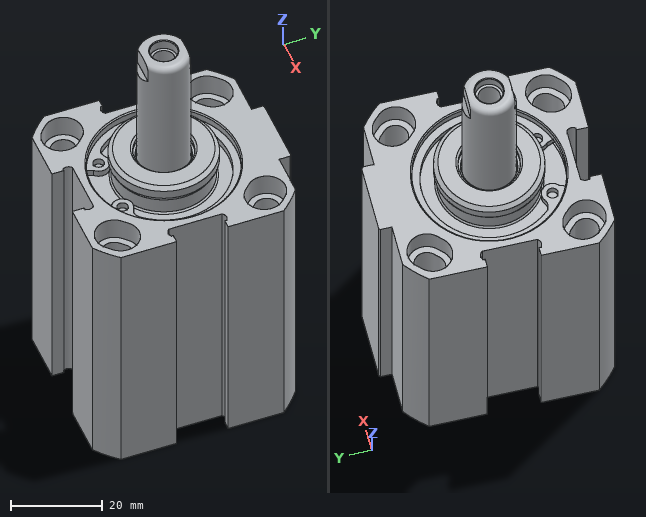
import cadquery as cq
import math

total_height = 100.5
body_height = 64.5
body_width = 46.0
body_depth = 48.0
corner_diameter = 60.0

rib_width = 16.4
rib_height = 2.9
rib_chamfer = 0.3

slot_mouth_width = 12.2
slot_ledge_width = 13.1
slot_bulge_width = 13.7
slot_bulge_depth = 0.6
slot_floor_width = 12.5
slot_inner_depth = 2.1
side_lip_depth = 2.0
front_lip_depth = 2.8

bolt_spacing_x = 33.0
bolt_spacing_y = 35.0
bolt_elongation = 1.5
bolt_hole_diameter = 5.7
bolt_counterbore_diameter = 8.7
bolt_counterbore_depth = 5.5

bore_diameter = 34.1
bore_chamfer = 0.3
groove_diameter = 35.8
ring_top_depth = 2.0
ring_thickness = 1.6

ring_inner_diameter = 30.5
lug_spacing = 14.3
lug_offset = 12.6
lug_diameter = 4.9
lug_hole_diameter = 2.5
lug_root_radius = 2.2
ring_gap_angle = 42.0

cover_top = 69.3
cover_flange_thickness = 10.0
neck_diameter = 23.2
neck_flare = 0.4
lip_diameter = 24.5
lip_top_chamfer_width = 1.0
lip_top_chamfer_height = 0.8
lip_straight_height = 2.2
lip_bottom_chamfer_height = 1.2
seal_mouth_diameter = 14.7
seal_diameter = 13.7
seal_chamfer = 0.5
seal_depth = 1.5
wiper_diameter = 12.6
wiper_depth = 3.0

rod_diameter = 12.0
rod_top_radius = 1.5
flat_width = 10.0
flat_height = 4.6
thread_diameter = 6.2
thread_mouth_chamfer = 0.2
thread_relief_depth = 2.5
core_diameter = 4.9
core_depth = 12.1
drill_point_angle = 118.0

ring_top = body_height - ring_top_depth
ring_bottom = ring_top - ring_thickness
bore_bottom = ring_bottom - cover_flange_thickness


def disc(diameter, bottom, top):
    return cq.Workplane("XY").workplane(offset=bottom).circle(diameter / 2).extrude(top - bottom)


def revolved(points):
    """Solid turned about the Z axis from (radius, height) points."""
    return cq.Workplane("XZ").polyline(points).close().revolve(360, (0, 0), (0, 1))


def t_slot(lip_depth):
    """T-slot cutter with bowed undercut walls, open toward -Y from a side face at y = 0."""
    floor_depth = lip_depth + slot_inner_depth
    bulge_depth = lip_depth + slot_bulge_depth
    mouth = cq.Workplane("XY").rect(slot_mouth_width, 2 * floor_depth).extrude(body_height)
    undercut = (
        cq.Workplane("XY")
        .moveTo(-slot_ledge_width / 2, lip_depth)
        .lineTo(slot_ledge_width / 2, lip_depth)
        .threePointArc((slot_bulge_width / 2, bulge_depth), (slot_floor_width / 2, floor_depth))
        .lineTo(-slot_floor_width / 2, floor_depth)
        .threePointArc((-slot_bulge_width / 2, bulge_depth), (-slot_ledge_width / 2, lip_depth))
        .close()
        .extrude(body_height)
    )
    return mouth.union(undercut)


def bolt_hole(x, y):
    """Bolt hole elongated at right angles to the corner diagonal it lies on."""
    angle = -45 if x * y > 0 else 45
    hole = (
        cq.Workplane("XY")
        .slot2D(bolt_hole_diameter + bolt_elongation, bolt_hole_diameter)
        .extrude(body_height)
    )
    counterbore = (
        cq.Workplane("XY")
        .workplane(offset=body_height - bolt_counterbore_depth)
        .slot2D(bolt_counterbore_diameter + bolt_elongation, bolt_counterbore_diameter)
        .extrude(bolt_counterbore_depth)
    )
    return hole.union(counterbore).rotate((0, 0, 0), (0, 0, 1), angle).translate((x, y, 0))


def make_housing():
    block = cq.Workplane("XY").rect(body_width, body_depth).extrude(body_height)
    housing = block.intersect(disc(corner_diameter, 0, body_height))

    rib = (
        cq.Workplane("XY")
        .rect(rib_width, body_depth + 2 * rib_height)
        .extrude(body_height)
        .edges("|Z and >Y")
        .chamfer(rib_chamfer)
    )
    back_half = cq.Workplane("XY").box(body_width, body_depth, body_height, centered=(True, False, False))
    housing = housing.union(rib.intersect(back_half))

    housing = housing.cut(t_slot(front_lip_depth).translate((0, -body_depth / 2, 0)))
    for turn in (-90, 90):
        side_slot = t_slot(side_lip_depth).translate((0, -body_width / 2, 0))
        housing = housing.cut(side_slot.rotate((0, 0, 0), (0, 0, 1), turn))

    for x in (-bolt_spacing_x / 2, bolt_spacing_x / 2):
        for y in (-bolt_spacing_y / 2, bolt_spacing_y / 2):
            housing = housing.cut(bolt_hole(x, y))

    bore_radius = bore_diameter / 2
    bore = revolved([
        (0, bore_bottom),
        (bore_radius, bore_bottom),
        (bore_radius, body_height - bore_chamfer),
        (bore_radius + bore_chamfer, body_height),
        (0, body_height),
    ])
    return housing.cut(bore).cut(disc(groove_diameter, ring_bottom, ring_top))


def make_retaining_ring():
    """Open ring with two eared ends that carry the plier holes."""
    lugs = [(-lug_spacing / 2, -lug_offset), (lug_spacing / 2, -lug_offset)]
    outer = disc(groove_diameter, ring_bottom, ring_top)
    band = outer.cut(disc(ring_inner_diameter, ring_bottom, ring_top))

    gap_reach = groove_diameter
    gap_half = gap_reach * math.tan(math.radians(ring_gap_angle / 2))
    ring_plane = cq.Workplane("XY").workplane(offset=ring_bottom)
    gap_corners = [(0, 0), (-gap_half, -gap_reach), (gap_half, -gap_reach)]
    gap_wedge = ring_plane.polyline(gap_corners).close().extrude(ring_thickness)
    ears = ring_plane.pushPoints(lugs).circle(lug_diameter / 2).extrude(ring_thickness)
    holes = ring_plane.pushPoints(lugs).circle(lug_hole_diameter / 2).extrude(ring_thickness)
    ring = band.cut(gap_wedge).union(ears.intersect(outer))

    lug_distance = math.hypot(lug_spacing / 2, lug_offset)
    lug_angle = math.atan2(lug_spacing / 2, lug_offset)
    inner_radius = ring_inner_diameter / 2
    cosine = (lug_distance**2 + inner_radius**2 - (lug_diameter / 2) ** 2) / (2 * lug_distance * inner_radius)
    root_angle = lug_angle + math.acos(cosine)
    middle = (ring_bottom + ring_top) / 2
    for side in (-1, 1):
        root = (side * inner_radius * math.sin(root_angle), -inner_radius * math.cos(root_angle), middle)
        ring = ring.edges("|Z").edges(cq.NearestToPointSelector(root)).fillet(lug_root_radius)
    return ring.cut(holes)


def make_cover():
    """Flanged rod cover with a lipped neck and a seal recess around the rod."""
    neck_radius = neck_diameter / 2
    lip_radius = lip_diameter / 2
    rod_radius = rod_diameter / 2
    seal_radius = seal_diameter / 2
    wiper_radius = wiper_diameter / 2
    lip_shoulder = cover_top - lip_top_chamfer_height
    lip_bottom = lip_shoulder - lip_straight_height
    return revolved([
        (rod_radius, bore_bottom),
        (bore_diameter / 2, bore_bottom),
        (bore_diameter / 2, ring_bottom),
        (neck_radius + neck_flare, ring_bottom),
        (neck_radius, ring_bottom + neck_flare),
        (neck_radius, lip_bottom - lip_bottom_chamfer_height),
        (lip_radius, lip_bottom),
        (lip_radius, lip_shoulder),
        (lip_radius - lip_top_chamfer_width, cover_top),
        (seal_mouth_diameter / 2, cover_top),
        (seal_radius, cover_top - seal_chamfer),
        (seal_radius, cover_top - seal_depth),
        (wiper_radius, cover_top - seal_depth),
        (wiper_radius, cover_top - wiper_depth),
        (rod_radius, cover_top - wiper_depth),
    ])


def make_rod():
    """Piston rod with a rounded tip, two wrench flats and a stepped threaded hole."""
    rod_radius = rod_diameter / 2
    rod = disc(rod_diameter, bore_bottom, total_height).faces(">Z").edges().fillet(rod_top_radius)

    flat_half = flat_width / 2
    flat_bottom = total_height - flat_height
    run_out = rod_diameter
    for side in (-1, 1):
        flat = (
            cq.Workplane("YZ")
            .polyline([
                (side * flat_half, total_height),
                (side * flat_half, flat_bottom),
                (side * (flat_half + run_out), flat_bottom - run_out),
                (side * (flat_half + run_out), total_height),
            ])
            .close()
            .extrude(rod_radius, both=True)
        )
        rod = rod.cut(flat)

    thread_radius = thread_diameter / 2
    core_radius = core_diameter / 2
    point_height = core_radius / math.tan(math.radians(drill_point_angle / 2))
    threaded_hole = revolved([
        (0, total_height),
        (thread_radius + thread_mouth_chamfer, total_height),
        (thread_radius, total_height - thread_mouth_chamfer),
        (thread_radius, total_height - thread_relief_depth),
        (core_radius, total_height - thread_relief_depth),
        (core_radius, total_height - core_depth),
        (0, total_height - core_depth - point_height),
    ])
    return rod.cut(threaded_hole)


housing = make_housing()
retaining_ring = make_retaining_ring()
rod_cover = make_cover()
piston_rod = make_rod()

result = cq.Compound.makeCompound([
    housing.val(),
    retaining_ring.val(),
    rod_cover.val(),
    piston_rod.val(),
])